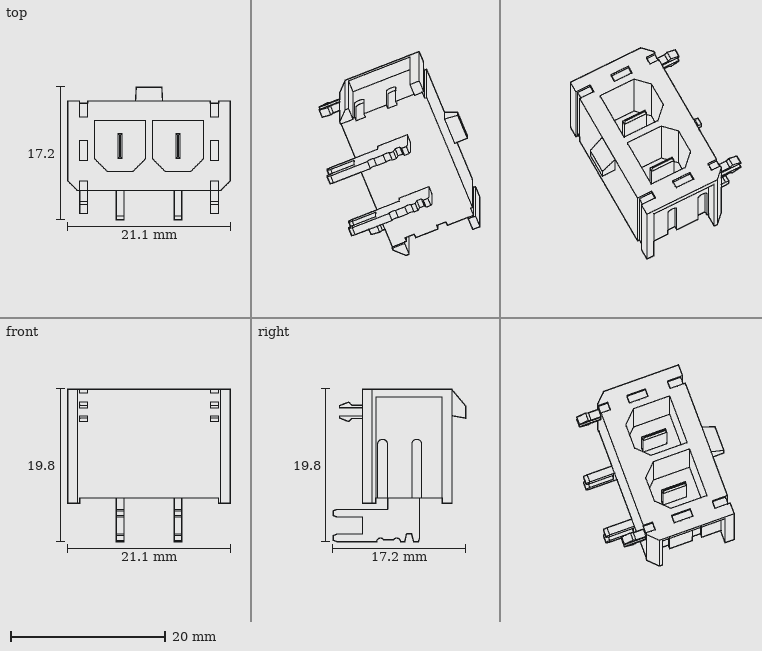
import cadquery as cq


HOUSING_WIDTH = 21.08
HOUSING_DEPTH = 11.62
HOUSING_HEIGHT = 14.79
CORNER_CHAMFER = 1.28
FOOT_HEIGHT = 0.68
FOOT_WIDTH = 1.57

END_RECESS_FRONT = 1.74
LEFT_RECESS_BACK = 10.60
RIGHT_RECESS_BACK = 10.33
END_RECESS_ROOF = 1.02
GROOVE_WIDTH = 1.29
GROOVE_DEPTH = 0.50
GROOVE_TOP = 8.28
GROOVE_CENTRES_Y = (2.62, 7.05)

CIRCUIT_PITCH = 7.50
CIRCUIT_CENTRES_X = (-CIRCUIT_PITCH / 2, CIRCUIT_PITCH / 2)
CAVITY_WIDTH = 6.60
CAVITY_FRONT = 2.47
CAVITY_BACK = 9.12
CAVITY_CHAMFER = 1.66
CAVITY_DEPTH = 10.50

CLIP_WIDTH = 1.05
CLIP_CENTRES_X = (-8.48, 8.48)
CLIP_LENGTH = 2.98
CLIP_CENTRE_Z = 11.84
CLIP_ROOT = 1.0
PRONG_INNER = 0.52
PRONG_OUTER = 0.88
BARB_START = 1.38
BARB_PEAK = 1.77
BARB_HALF_HEIGHT = 1.28
PRONG_TIP_HALF_HEIGHT = 0.80
POCKET_DEPTH = 0.52
FRONT_POCKET_END = 1.28
MIDDLE_POCKET = (3.92, 6.48)
BACK_POCKET_START = 9.53
BACK_GROOVE_DEPTH = 0.27

LATCH_REACH = 1.80
LATCH_ROOT_WIDTH = 3.53
LATCH_TIP_WIDTH = 3.34
LATCH_ROOT_TOP = 14.72
LATCH_ROOT_BOTTOM = 11.32
LATCH_TIP_TOP = 12.57
LATCH_TIP_BOTTOM = 11.00

PLATE_THICKNESS = 1.02
PLATE_BACK = 7.43
PLATE_FRONT = 3.27
PLATE_BOTTOM = -5.00
TAIL_END = -3.78
TAIL_HEIGHT = 1.02
TAIL_PITCH = 3.20
TAIL_TAPER_LENGTH = 0.50
TAIL_TAPER_HEIGHT = 0.20
HEEL_CHAMFER_WIDTH = 0.15
HEEL_CHAMFER_HEIGHT = 0.51
NOTCH_BOTTOM = (5.50, 6.63)
NOTCH_TOP = (5.73, 6.37)
SCALLOP_CENTRES_Y = (2.35, 4.45)
SCALLOP_RADIUS = 0.48
SCALLOP_STEP_HEIGHT = 0.26
BLADE_THICKNESS = 0.52
BLADE_WIDTH = 3.27
BLADE_TOP_BELOW_FACE = 3.50
BLADE_TIP_LENGTH = 0.45
BLADE_TIP_INSET = 0.20


def box(x_range, y_range, z_range):
    """Axis-aligned box from its limits along each axis."""
    size = [limits[1] - limits[0] for limits in (x_range, y_range, z_range)]
    corner = (x_range[0], y_range[0], z_range[0])
    return cq.Workplane("XY").box(*size, centered=False).translate(corner)


def side_plate(outline, centre_x, thickness):
    """Plate with a closed (Y, Z) outline, centred on centre_x."""
    plate = cq.Workplane("YZ").polyline(outline).close().extrude(thickness / 2, both=True)
    return plate.translate((centre_x, 0, 0))


def housing_block():
    half_width = HOUSING_WIDTH / 2
    block = box((-half_width, half_width), (0, HOUSING_DEPTH), (0, HOUSING_HEIGHT))
    block = block.edges("|Z and <Y").chamfer(CORNER_CHAMFER)
    foot_inner = half_width - FOOT_WIDTH
    underside = box((-foot_inner, foot_inner), (0, HOUSING_DEPTH), (0, FOOT_HEIGHT))
    return block.cut(underside)


def end_recess(side, back_y):
    """Material removed from the end wall on one side (-1 or +1), as far back as back_y."""
    outer = side * HOUSING_WIDTH / 2
    floor = side * (HOUSING_WIDTH / 2 - FOOT_WIDTH)
    groove_floor = floor - side * GROOVE_DEPTH

    roof = HOUSING_HEIGHT - END_RECESS_ROOF
    recess = box(sorted((outer, floor)), (END_RECESS_FRONT, back_y), (0, roof))

    radius = GROOVE_WIDTH / 2
    spring_z = GROOVE_TOP - radius
    for centre_y in GROOVE_CENTRES_Y:
        groove = (
            cq.Workplane("YZ", origin=(groove_floor, centre_y, 0))
            .moveTo(-radius, 0)
            .lineTo(-radius, spring_z)
            .threePointArc((0, GROOVE_TOP), (radius, spring_z))
            .lineTo(radius, 0)
            .close()
            .extrude(side * GROOVE_DEPTH)
        )
        recess = recess.union(groove)
    return recess


def cavity(centre_x):
    floor_z = HOUSING_HEIGHT - CAVITY_DEPTH
    x_range = (centre_x - CAVITY_WIDTH / 2, centre_x + CAVITY_WIDTH / 2)
    hole = box(x_range, (CAVITY_FRONT, CAVITY_BACK), (floor_z, HOUSING_HEIGHT))
    return hole.edges("|Z and <Y").chamfer(CAVITY_CHAMFER)


def clip_pockets(centre_x):
    """Three shallow pockets in the top face and the full-height groove in the back face."""
    x_range = (centre_x - CLIP_WIDTH / 2, centre_x + CLIP_WIDTH / 2)
    pocket_z = (HOUSING_HEIGHT - POCKET_DEPTH, HOUSING_HEIGHT)
    groove_y = (HOUSING_DEPTH - BACK_GROOVE_DEPTH, HOUSING_DEPTH)
    pockets = box(x_range, groove_y, (0, HOUSING_HEIGHT))
    for y_range in ((0, FRONT_POCKET_END), MIDDLE_POCKET, (BACK_POCKET_START, HOUSING_DEPTH)):
        pockets = pockets.union(box(x_range, y_range, pocket_z))
    return pockets


def clip_prong(centre_x, direction):
    """One barbed prong, above (+1) or below (-1) the clip's centre line."""
    profile = (
        (CLIP_ROOT, PRONG_INNER),
        (-CLIP_LENGTH, PRONG_INNER),
        (-CLIP_LENGTH, PRONG_TIP_HALF_HEIGHT),
        (-BARB_PEAK, BARB_HALF_HEIGHT),
        (-BARB_START, PRONG_OUTER),
        (CLIP_ROOT, PRONG_OUTER),
    )
    outline = [(y, CLIP_CENTRE_Z + direction * offset) for y, offset in profile]
    return side_plate(outline, centre_x, CLIP_WIDTH)


def latch():
    tip_y = HOUSING_DEPTH + LATCH_REACH
    outline = (
        (HOUSING_DEPTH, LATCH_ROOT_TOP),
        (tip_y, LATCH_TIP_TOP),
        (tip_y, LATCH_TIP_BOTTOM),
        (HOUSING_DEPTH, LATCH_ROOT_BOTTOM),
    )
    ramp = side_plate(outline, 0, LATCH_ROOT_WIDTH)
    plan = (
        (-LATCH_ROOT_WIDTH / 2, HOUSING_DEPTH),
        (-LATCH_TIP_WIDTH / 2, tip_y),
        (LATCH_TIP_WIDTH / 2, tip_y),
        (LATCH_ROOT_WIDTH / 2, HOUSING_DEPTH),
    )
    return ramp.intersect(cq.Workplane("XY").polyline(plan).close().extrude(HOUSING_HEIGHT))


def solder_tail(centre_x, bottom_z):
    """Tail running from the plate to its tapered tip."""
    top_z = bottom_z + TAIL_HEIGHT
    taper_y = TAIL_END + TAIL_TAPER_LENGTH
    outline = (
        (PLATE_FRONT, bottom_z),
        (taper_y, bottom_z),
        (TAIL_END, bottom_z + TAIL_TAPER_HEIGHT),
        (TAIL_END, top_z - TAIL_TAPER_HEIGHT),
        (taper_y, top_z),
        (PLATE_FRONT, top_z),
    )
    return side_plate(outline, centre_x, PLATE_THICKNESS)


def terminal_plate(centre_x):
    upper_tail_z = PLATE_BOTTOM + TAIL_PITCH
    cavity_floor = HOUSING_HEIGHT - CAVITY_DEPTH
    notch_top_z = PLATE_BOTTOM + TAIL_HEIGHT
    outline = (
        (PLATE_BACK, cavity_floor),
        (PLATE_BACK, PLATE_BOTTOM + HEEL_CHAMFER_HEIGHT),
        (PLATE_BACK - HEEL_CHAMFER_WIDTH, PLATE_BOTTOM),
        (NOTCH_BOTTOM[1], PLATE_BOTTOM),
        (NOTCH_TOP[1], notch_top_z),
        (NOTCH_TOP[0], notch_top_z),
        (NOTCH_BOTTOM[0], PLATE_BOTTOM),
        (0, PLATE_BOTTOM),
        (0, upper_tail_z + TAIL_HEIGHT),
        (PLATE_FRONT, upper_tail_z + TAIL_HEIGHT),
        (PLATE_FRONT, cavity_floor),
    )
    plate = side_plate(outline, centre_x, PLATE_THICKNESS)
    for bottom_z in (PLATE_BOTTOM, upper_tail_z):
        plate = plate.union(solder_tail(centre_x, bottom_z))

    plate_x = (centre_x - PLATE_THICKNESS / 2, centre_x + PLATE_THICKNESS / 2)
    step_z = (PLATE_BOTTOM, PLATE_BOTTOM + SCALLOP_STEP_HEIGHT)
    plate = plate.cut(box(plate_x, SCALLOP_CENTRES_Y, step_z))
    for scallop_y in SCALLOP_CENTRES_Y:
        scallop = (
            cq.Workplane("YZ", origin=(centre_x, scallop_y, PLATE_BOTTOM))
            .circle(SCALLOP_RADIUS)
            .extrude(PLATE_THICKNESS / 2, both=True)
        )
        plate = plate.cut(scallop)
    return plate


def mating_blade(centre_x):
    """Thin blade standing on the cavity floor, with a tip tapered on all four sides."""
    base_z = HOUSING_HEIGHT - CAVITY_DEPTH
    shoulder_z = HOUSING_HEIGHT - BLADE_TOP_BELOW_FACE - BLADE_TIP_LENGTH
    base = (centre_x, PLATE_BACK - BLADE_WIDTH / 2, base_z)
    blade = (
        cq.Workplane("XY", origin=base)
        .rect(BLADE_THICKNESS, BLADE_WIDTH)
        .extrude(shoulder_z - base_z)
    )
    tip = (
        blade.faces(">Z").workplane()
        .rect(BLADE_THICKNESS, BLADE_WIDTH)
        .workplane(offset=BLADE_TIP_LENGTH)
        .rect(BLADE_THICKNESS - 2 * BLADE_TIP_INSET, BLADE_WIDTH - 2 * BLADE_TIP_INSET)
        .loft(combine=False)
    )
    return blade.union(tip)


result = housing_block()
for end_side, recess_back in ((-1, LEFT_RECESS_BACK), (1, RIGHT_RECESS_BACK)):
    result = result.cut(end_recess(end_side, recess_back))
for x in CIRCUIT_CENTRES_X:
    result = result.cut(cavity(x))
for x in CLIP_CENTRES_X:
    result = result.cut(clip_pockets(x))
    for prong_direction in (-1, 1):
        result = result.union(clip_prong(x, prong_direction))
result = result.union(latch())
for x in CIRCUIT_CENTRES_X:
    result = result.union(terminal_plate(x)).union(mating_blade(x))